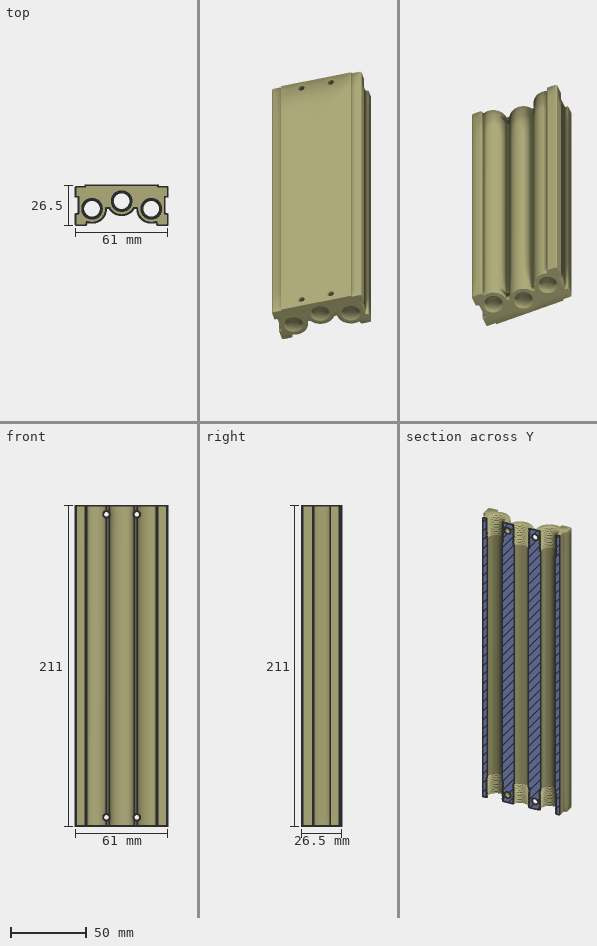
import cadquery as cq
import math

width = 61.0
depth = 26.5
length = 211.0
half_width = width / 2

pad_half_width = 24.0
pad_height = 1.0
shoulder_y = depth - pad_height
back_chamfer = 0.6

slot_depth = 2.0
slot_front_y = 7.4
slot_front_rise = 0.6
slot_back_y = 18.9
slot_floor_x = half_width - slot_depth

foot_inner_x = 23.2
foot_root_x = 22.8
foot_chamfer = 0.7

lobe_radius = 9.3
side_bore_x = 19.5
side_bore_y = 11.0
middle_bore_y = 16.0
valley_y = 11.5

minor_diameter = 11.445
major_diameter = 13.157
thread_pitch = 1.337
thread_turns = 12

hole_diameter = 4.2
hole_x = 10.0
hole_end_distance = 5.8


def circle_y(x, center_x, center_y):
    """Y on the front half of a lobe at the given X."""
    return center_y - math.sqrt(lobe_radius**2 - (x - center_x) ** 2)


def make_half_profile():
    """Right half of the bar, closed along the YZ plane."""
    foot_root_y = circle_y(foot_root_x, side_bore_x, side_bore_y)
    valley_inner_x = math.sqrt(lobe_radius**2 - (middle_bore_y - valley_y) ** 2)
    valley_outer_x = side_bore_x - lobe_radius
    middle_arc_x = valley_inner_x / 2
    return (
        cq.Workplane("XY")
        .moveTo(0, depth)
        .lineTo(pad_half_width, depth)
        .lineTo(pad_half_width, shoulder_y)
        .lineTo(half_width - back_chamfer, shoulder_y)
        .lineTo(half_width, shoulder_y - back_chamfer)
        .lineTo(half_width, slot_back_y)
        .lineTo(slot_floor_x, slot_back_y)
        .lineTo(slot_floor_x, slot_front_y + slot_front_rise)
        .lineTo(half_width, slot_front_y)
        .lineTo(half_width, foot_chamfer)
        .lineTo(half_width - foot_chamfer, 0)
        .lineTo(foot_inner_x + foot_chamfer, 0)
        .lineTo(foot_inner_x, foot_chamfer)
        .lineTo(foot_root_x, foot_root_y)
        .threePointArc((side_bore_x, side_bore_y - lobe_radius), (valley_outer_x, side_bore_y))
        .lineTo(valley_outer_x, valley_y)
        .lineTo(valley_inner_x, valley_y)
        .threePointArc(
            (middle_arc_x, circle_y(middle_arc_x, 0, middle_bore_y)),
            (0, middle_bore_y - lobe_radius),
        )
        .close()
    )


def make_body():
    half = make_half_profile().extrude(length)
    return half.union(half.mirror("YZ")).clean()


def make_bore():
    """Through bore with ring-shaped thread grooves at both ends, on the Z axis.

    A groove root lies on each end face, so every port opens at the major diameter.
    """
    minor_radius = minor_diameter / 2
    major_radius = major_diameter / 2
    lower_thread = []
    for turn in range(thread_turns):
        root_z = turn * thread_pitch
        lower_thread.append((major_radius, root_z))
        lower_thread.append((minor_radius, root_z + thread_pitch / 2))
    upper_thread = [(radius, length - z) for radius, z in reversed(lower_thread)]
    points = [(0, 0)] + lower_thread + upper_thread + [(0, length)]
    return cq.Workplane("XZ").polyline(points).close().revolve(360, (0, 0), (0, 1))


def cut_bores(body):
    bore = make_bore()
    for x, y in ((-side_bore_x, side_bore_y), (0, middle_bore_y), (side_bore_x, side_bore_y)):
        body = body.cut(bore.translate((x, y, 0)))
    return body


def cut_mounting_holes(body):
    """Four holes running straight through from front to back."""
    places = []
    for x in (-hole_x, hole_x):
        for z in (hole_end_distance, length - hole_end_distance):
            places.append((x, z))
    holes = cq.Workplane("XZ").pushPoints(places).circle(hole_diameter / 2).extrude(-depth)
    return body.cut(holes)


result = cut_mounting_holes(cut_bores(make_body()))